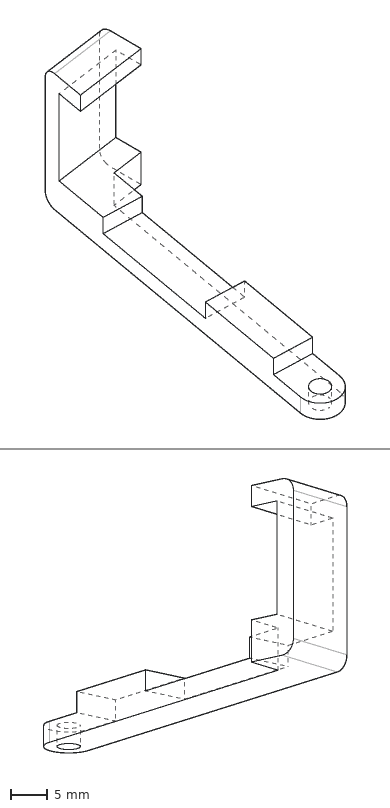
import cadquery as cq
import math

total_length = 61.5
total_depth = 12.55
total_height = 25.2

lean_angle = 10.0
wall = 3.0
arm_reach = 7.6
corner_radius = 2.0
lower_jaw_height = 6.0

strip_width = 6.95
strip_thickness = wall
near_pad_end = 14.7
far_pad_start = 37.1
far_pad_end = 52.05
hole_diameter = 3.2

lean = math.radians(lean_angle)
hook_length = (total_depth - arm_reach * math.sin(lean)) / math.cos(lean)
hook_origin_x = hook_length * math.sin(lean)
trim_length = arm_reach


def make_hook():
    """Leaning C section with rounded outer corners and a flat front face."""
    profile = (
        cq.Workplane("XZ", origin=(0, hook_length, 0))
        .polyline([
            (0, 0),
            (arm_reach, 0),
            (arm_reach, lower_jaw_height),
            (wall, lower_jaw_height),
            (wall, total_height - wall),
            (arm_reach, total_height - wall),
            (arm_reach, total_height),
            (0, total_height),
        ])
        .close()
    )
    hook = profile.extrude(hook_length + trim_length)
    hook = hook.edges("|Y and <X").fillet(corner_radius)
    hook = hook.rotate((0, 0, 0), (0, 0, 1), lean_angle).translate((hook_origin_x, 0, 0))
    front_half_space = cq.Workplane("XY").box(
        2 * total_length, total_length, 3 * total_height, centered=(True, False, True)
    ).translate((0, -total_length, 0))
    return hook.cut(front_half_space)


def make_block(start_x, end_x, height):
    """Block of the strip's width, standing on Z = 0."""
    block = cq.Workplane("XY").box(end_x - start_x, strip_width, height, centered=False)
    return block.translate((start_x, 0, 0))


strip_start = hook_origin_x + arm_reach / 2
end_radius = strip_width / 2
eye_x = total_length - end_radius

strip = make_block(strip_start, eye_x, strip_thickness)
eye = cq.Workplane("XY").center(eye_x, end_radius).circle(end_radius).extrude(strip_thickness)
eye_hole = (
    cq.Workplane("XY").center(eye_x, end_radius).circle(hole_diameter / 2).extrude(strip_thickness)
)

result = (
    make_hook()
    .union(strip)
    .union(eye)
    .union(make_block(strip_start, near_pad_end, lower_jaw_height))
    .union(make_block(far_pad_start, far_pad_end, lower_jaw_height))
    .cut(eye_hole)
)